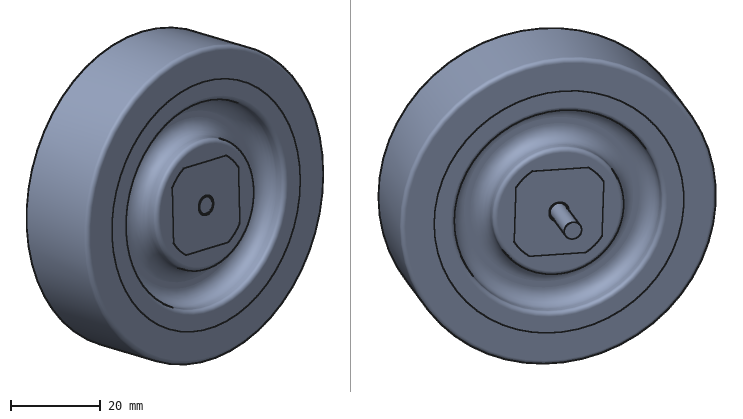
import cadquery as cq

tire_diameter = 73.0
wheel_width = 20.3
rim_fillet = 1.0

hub_diameter = 57.65

groove_inner_radius = 15.2
groove_outer_radius = 23.95
groove_depth = 6.2
groove_floor_fillet = 3.65
groove_edge_fillet = 1.0

insert_side = 20.3
insert_diameter = 24.1
insert_turn = 1.8

shaft_diameter = 4.0
bore_chamfer = 0.3
shaft_overhang = 11.9

half_width = wheel_width / 2


def wheel_face():
    """Workplane on the wheel's -X face, facing +X."""
    return cq.Workplane("YZ", origin=(-half_width, 0, 0))


def disc(diameter):
    """Cylinder along X with the full width of the wheel."""
    return wheel_face().circle(diameter / 2).extrude(wheel_width)


def square_insert_blank():
    """Square bar with its corners turned down to a round, set at a small angle."""
    square = wheel_face().rect(insert_side, insert_side).extrude(wheel_width)
    blank = square.intersect(disc(insert_diameter))
    return blank.rotate((0, 0, 0), (1, 0, 0), insert_turn)


def groove_cutter():
    """Ring with straight walls, a rounded floor and a flared mouth, for the -X face."""
    face = -half_width
    wall_start = face + groove_edge_fillet
    floor = face + groove_depth
    wall_end = floor - groove_floor_fillet
    inner_lip = groove_inner_radius - groove_edge_fillet
    outer_lip = groove_outer_radius + groove_edge_fillet
    return (
        cq.Workplane("XY")
        .moveTo(face, inner_lip)
        .radiusArc((wall_start, groove_inner_radius), groove_edge_fillet)
        .lineTo(wall_end, groove_inner_radius)
        .radiusArc((floor, groove_inner_radius + groove_floor_fillet), -groove_floor_fillet)
        .lineTo(floor, groove_outer_radius - groove_floor_fillet)
        .radiusArc((wall_end, groove_outer_radius), -groove_floor_fillet)
        .lineTo(wall_start, groove_outer_radius)
        .radiusArc((face, outer_lip), groove_edge_fillet)
        .close()
        .revolve(360, (0, 0, 0), (1, 0, 0))
    )


def make_tire():
    """Plain ring with rounded tread edges."""
    tread = disc(tire_diameter).edges().fillet(rim_fillet)
    return tread.cut(disc(hub_diameter))


def make_hub():
    """Disc with a ring groove in both faces and an opening for the insert."""
    groove = groove_cutter()
    return (
        disc(hub_diameter)
        .cut(groove)
        .cut(groove.mirror("YZ"))
        .cut(square_insert_blank())
    )


def make_insert():
    """Square insert with a bore that fits the shaft, chamfered at both mouths."""
    bored = square_insert_blank().cut(disc(shaft_diameter))
    bore_mouths = cq.selectors.RadiusNthSelector(0)
    return bored.edges("%CIRCLE").edges(bore_mouths).chamfer(bore_chamfer)


def make_shaft():
    """Round shaft, flush with the +X face and standing out of the -X face."""
    shaft_length = wheel_width + shaft_overhang
    return (
        cq.Workplane("YZ", origin=(half_width, 0, 0))
        .circle(shaft_diameter / 2)
        .extrude(-shaft_length)
    )


tire = make_tire()
hub = make_hub()
insert = make_insert()
shaft = make_shaft()

result = cq.Compound.makeCompound([tire.val(), hub.val(), insert.val(), shaft.val()])